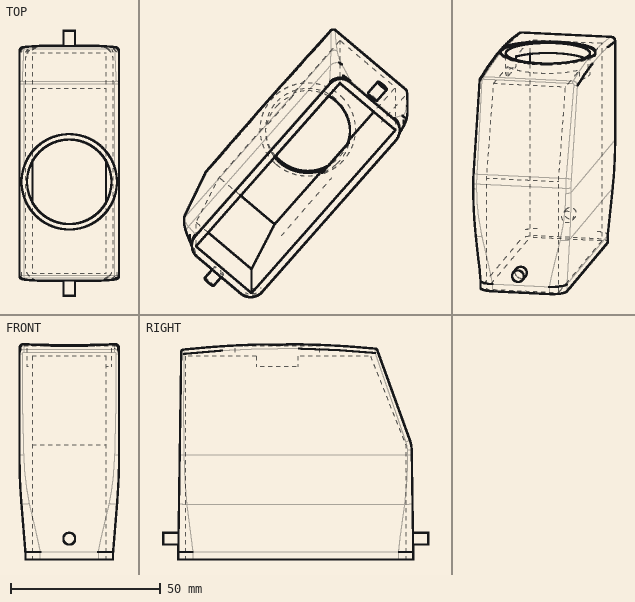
import cadquery as cq
import math


rim_width = 29.5
rim_length = 78.9
rim_height = 2.5

hood_width = 33.5
flare_top = 18.5
bulge_top = 35.0
flare_tangent = (hood_width - rim_width) / 2 / ((flare_top + bulge_top) / 2 - rim_height)
flare_angle = math.atan(flare_tangent)

hood_height = 72.29
end_draft = math.radians(0.85)
shoulder_height = 38.4
shoulder_radius = 10.0
roof_front_height = 70.4
roof_back_height = 70.75
roof_back_y = 27.2

rim_corner_radius = 5.0
flare_corner_radius = 2.7
bulge_corner_radius = 1.5
roof_corner_radius = 1.0

roof_side_edge_radius = 1.5
roof_end_edge_radius = 1.0

cavity_width = 24.6
cavity_height = 68.25
end_wall = 2.5
slope_wall = 3.0

entry_y = -6.2
bore_diameter = 28.3
bore_floor_height = 64.75
spotface_diameter = 32.0
spotface_height = 71.7

peg_diameter = 4.0
peg_span = 89.0
peg_height = 7.0


def end_y(height):
    """Distance of a drafted end wall from the middle, at a height."""
    return rim_length / 2 - (height - rim_height) * math.tan(end_draft)


def cross_prism():
    """Cross outline of the walls above the rim, drawn out along Y."""
    half_rim = rim_width / 2
    half_hood = hood_width / 2
    half_flare = half_rim + (flare_top - rim_height) * flare_tangent
    bulge_radius = (bulge_top - flare_top) / math.sin(flare_angle)
    mid_x = half_hood - bulge_radius * (1 - math.cos(flare_angle / 2))
    mid_z = bulge_top - bulge_radius * math.sin(flare_angle / 2)
    return (
        cq.Workplane("XZ")
        .moveTo(-half_rim, rim_height)
        .lineTo(half_rim, rim_height)
        .lineTo(half_flare, flare_top)
        .threePointArc((mid_x, mid_z), (half_hood, bulge_top))
        .lineTo(half_hood, hood_height)
        .lineTo(-half_hood, hood_height)
        .lineTo(-half_hood, bulge_top)
        .threePointArc((-mid_x, mid_z), (-half_flare, flare_top))
        .close()
        .extrude(rim_length, both=True)
    )


def length_prism():
    """Length outline of the walls above the rim, drawn out along X."""
    roof_front_y = -end_y(roof_front_height)
    front_reach = math.sqrt(hood_height - roof_front_height)
    back_reach = math.sqrt(hood_height - roof_back_height)
    crown_share = front_reach / (front_reach + back_reach)
    crown_y = roof_front_y + (roof_back_y - roof_front_y) * crown_share
    sharp = (
        cq.Workplane("YZ")
        .moveTo(-end_y(rim_height), rim_height)
        .lineTo(end_y(rim_height), rim_height)
        .lineTo(end_y(shoulder_height), shoulder_height)
        .lineTo(roof_back_y, roof_back_height)
        .threePointArc((crown_y, hood_height), (roof_front_y, roof_front_height))
        .close()
        .extrude(hood_width, both=True)
    )
    shoulder_point = (0, end_y(shoulder_height), shoulder_height)
    return sharp.edges(cq.selectors.NearestToPointSelector(shoulder_point)).fillet(shoulder_radius)


def corner_radius(joint_height):
    """Radius of the upright corners at the joint between stretches near this height."""
    if joint_height < (rim_height + flare_top) / 2:
        return rim_corner_radius
    if joint_height < (flare_top + bulge_top) / 2:
        return flare_corner_radius
    if joint_height < (bulge_top + roof_front_height) / 2:
        return bulge_corner_radius
    return roof_corner_radius


def upper_walls():
    """Solid block above the rim, its upright corners and roof edges filleted together."""
    block = cross_prism().intersect(length_prism())
    fillet = cq.occ_impl.shapes.BRepFilletAPI_MakeFillet(block.val().wrapped)

    shortest_upright = (flare_top - rim_height) / 2
    for edge in block.edges().vals():
        box = edge.BoundingBox()
        upright = box.zlen > shortest_upright and box.xlen < hood_width / 2
        if upright and fillet.Contour(edge.wrapped) == 0:
            fillet.Add(roof_corner_radius, edge.wrapped)
    for chain in range(1, fillet.NbContours() + 1):
        for link in range(1, fillet.NbEdges(chain) + 1):
            edge = cq.Edge(fillet.Edge(chain, link))
            start_radius = corner_radius(edge.startPoint().z)
            end_radius = corner_radius(edge.endPoint().z)
            fillet.SetRadius(start_radius, end_radius, chain, link)

    roof = block.faces(">Z")
    for edge in roof.edges("<X or >X").vals():
        fillet.Add(roof_side_edge_radius, edge.wrapped)
    for edge in roof.edges("<Y or >Y").vals():
        fillet.Add(roof_end_edge_radius, edge.wrapped)

    return cq.Workplane(cq.Shape.cast(fillet.Shape()).Solids()[0])


def rim():
    """Upright band with rounded corners at the foot of the walls."""
    return (
        cq.Workplane("XY")
        .rect(rim_width, rim_length)
        .extrude(rim_height)
        .edges("|Z")
        .fillet(rim_corner_radius)
    )


def cavity():
    """Inner space, with upright walls and a sloped back under the outer slope."""
    half_length = rim_length / 2 - end_wall
    slope_y_per_z = (roof_back_y - end_y(shoulder_height)) / (roof_back_height - shoulder_height)
    ceiling_back_y = roof_back_y - slope_wall + (cavity_height - roof_back_height) * slope_y_per_z
    return (
        cq.Workplane("YZ")
        .moveTo(-half_length, 0)
        .lineTo(half_length, 0)
        .lineTo(half_length, shoulder_height)
        .lineTo(ceiling_back_y, cavity_height)
        .lineTo(-half_length, cavity_height)
        .close()
        .extrude(cavity_width / 2, both=True)
    )


def entry_cut(diameter, floor_height):
    """Round cut on the cable entry axis, from a floor up to the crown of the roof."""
    return (
        cq.Workplane("XY", origin=(0, entry_y, floor_height))
        .circle(diameter / 2)
        .extrude(hood_height - floor_height)
    )


def peg(end):
    """Peg rooted in one end wall; end is -1 for the front and 1 for the back."""
    root_y = rim_length / 2 - end_wall / 2
    return (
        cq.Workplane("XZ", origin=(0, end * root_y, peg_height))
        .circle(peg_diameter / 2)
        .extrude(end * (root_y - peg_span / 2))
    )


hood = upper_walls().union(rim()).cut(cavity())
hood = hood.cut(entry_cut(bore_diameter, bore_floor_height))
hood = hood.cut(entry_cut(spotface_diameter, spotface_height))
for end in (-1, 1):
    hood = hood.union(peg(end))

result = cq.Compound.makeCompound([hood.val()])